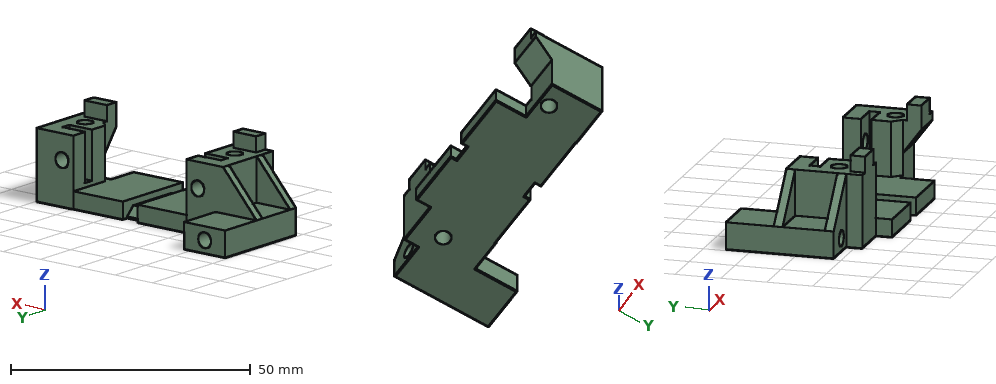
import cadquery as cq

length = 58.95
depth = 30.5
height = 19.5

tower_width = 9.85
tower_front = 3.5
tower_back = 20.05
tower_height = 16.05
tower_depth = tower_back - tower_front
right_tower_x = length - tower_width

peg_width = 6.1
peg_depth = 3.1
left_peg_inset = 2.0
right_peg_inset = 1.8

wing_width = 10.95
wing_front = 6.95
wing_height = 6.0
wing_hole_z = 3.0
rib_run = 8.95
rib_thickness = 1.95
left_tower_x = rib_run

plate_depth = 19.9
plate_height = 4.0
plate_gap = 3.95
plate_start = left_tower_x + tower_width
plate_width = (right_tower_x - plate_start - plate_gap) / 2
web_inset = 1.5
web_height = 2.5
web_chamfer = 2.0

hole_diameter = 3.4
bore_inset = 4.95
bore_y = 10.0
slot_length = 6.1
slot_front = 13.8
slot_width = 2.3
slot_floor = 5.0
screw_hole_z = 10.25

notch_back = 7.5
notch_width = 2.0
notch_chamfer = 2.0
overhang_bottom = 14.2
undercut_height = 5.3
overhang_left_x = right_tower_x + right_peg_inset

bottom_chamfer = 0.2


def box(x, y, z, dx, dy, dz):
    """Box with its lowest corner at (x, y, z)."""
    return cq.Workplane("XY").box(dx, dy, dz, centered=False).translate((x, y, z))


def extrude_along_x(outline, x, distance):
    """Prism along +X from a closed (y, z) outline."""
    return cq.Workplane("YZ", origin=(x, 0, 0)).polyline(outline).close().extrude(distance)


def hole_along_y(x, z, start, end):
    """Cylinder along Y for a screw hole."""
    plane = cq.Workplane("XZ", origin=(x, start, z))
    return plane.circle(hole_diameter / 2).extrude(start - end)


def rib(y):
    """Sloping gusset from the wing's outer edge to the top of the left tower."""
    outline = [(0, 0), (rib_run, 0), (rib_run, tower_height), (0, wing_height)]
    plane = cq.Workplane("XZ", origin=(0, y, 0))
    return plane.polyline(outline).close().extrude(-rib_thickness)


def peg(x):
    return box(x, tower_front, tower_height, peg_width, peg_depth, height - tower_height)


def nut_slot_and_holes(slot_x, bore_x):
    """Vertical bore, nut slot and the screw hole from the back face into the slot."""
    slot = box(slot_x, slot_front, slot_floor, slot_length, slot_width, height)
    bore = cq.Workplane("XY", origin=(bore_x, bore_y, 0)).circle(hole_diameter / 2).extrude(height)
    slot_back = slot_front + slot_width
    screw_hole = hole_along_y(slot_x + slot_length / 2, screw_hole_z, slot_back, tower_back)
    return slot.union(bore).union(screw_hole)


def left_tower():
    body = box(left_tower_x, tower_front, 0, tower_width, tower_depth, tower_height)
    return body.union(peg(left_tower_x + left_peg_inset))


def wing():
    plate = box(0, wing_front, 0, wing_width, depth - wing_front, wing_height)
    return plate.union(rib(wing_front)).union(rib(tower_back - rib_thickness))


def right_tower():
    """Tower with a bevelled inner front corner and an undercut, overhanging front."""
    body = box(right_tower_x, notch_back, 0, tower_width, tower_back - notch_back, tower_height)
    corner = (
        cq.Workplane("XY", origin=(0, 0, plate_height))
        .moveTo(right_tower_x, notch_back)
        .line(notch_width, 0)
        .line(-notch_width, notch_chamfer)
        .close()
        .extrude(tower_height)
    )
    undercut_bottom = overhang_bottom - undercut_height
    overhang = extrude_along_x(
        [
            (tower_front, overhang_bottom),
            (tower_front, tower_height),
            (notch_back, tower_height),
            (notch_back, undercut_bottom),
        ],
        overhang_left_x,
        length - overhang_left_x,
    )
    return body.cut(corner).union(overhang).union(peg(overhang_left_x))


def base():
    """Two plates and the bevelled web across the gap between them."""
    right_plate_x = plate_start + plate_width + plate_gap
    web_back = plate_depth - web_inset
    bevel_start = web_height - web_chamfer
    web = extrude_along_x(
        [
            (web_inset, 0),
            (web_back, 0),
            (web_back, bevel_start),
            (web_back - web_chamfer, web_height),
            (web_inset + web_chamfer, web_height),
            (web_inset, bevel_start),
        ],
        plate_start + plate_width,
        plate_gap,
    )
    left_plate = box(plate_start, 0, 0, plate_width, plate_depth, plate_height)
    right_plate = box(right_plate_x, 0, 0, plate_width, plate_depth, plate_height)
    return left_plate.union(web).union(right_plate)


body = base().union(left_tower()).union(wing()).union(right_tower())

body = body.faces("<Z").edges().chamfer(bottom_chamfer)

result = (
    body.cut(nut_slot_and_holes(plate_start - slot_length, left_tower_x + bore_inset))
    .cut(nut_slot_and_holes(right_tower_x, right_tower_x + tower_width - bore_inset))
    .cut(hole_along_y(wing_width / 2, wing_hole_z, wing_front, depth))
)